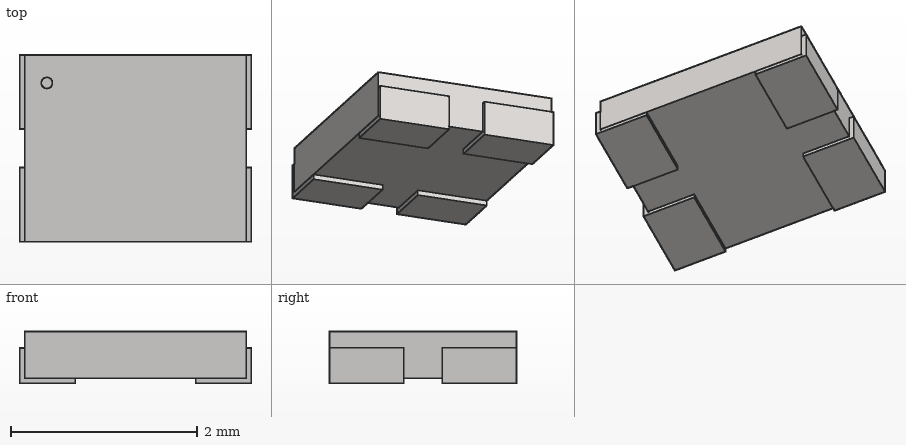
import cadquery as cq

total_length = 2.49
width = 2.01
total_height = 0.56

terminal_thickness = 0.055
terminal_width = 0.8
terminal_height = 0.38
foot_length = 0.6

marker_diameter = 0.12
marker_depth = 0.02
marker_x = -0.95
marker_y = 0.702

housing_length = total_length - 2 * terminal_thickness
housing_height = total_height - terminal_thickness


def make_marker():
    """Disc whose upper face is level with the top of the housing."""
    return (
        cq.Workplane("XY", origin=(marker_x, marker_y, total_height - marker_depth))
        .circle(marker_diameter / 2)
        .extrude(marker_depth)
    )


def make_housing(marker):
    """Rectangular block with a shallow round recess for the marker."""
    block = (
        cq.Workplane("XY", origin=(0, 0, terminal_thickness))
        .rect(housing_length, width)
        .extrude(housing_height)
    )
    return block.cut(marker)


def make_terminal(x_side, y_side):
    """L-shaped terminal at one corner; each side is -1 or +1."""
    outer_x = x_side * total_length / 2
    wall_x = x_side * housing_length / 2
    foot_x = outer_x - x_side * foot_length
    center_y = y_side * (width - terminal_width) / 2
    return (
        cq.Workplane("XZ", origin=(0, center_y, 0))
        .moveTo(outer_x, 0)
        .lineTo(outer_x, terminal_height)
        .lineTo(wall_x, terminal_height)
        .lineTo(wall_x, terminal_thickness)
        .lineTo(foot_x, terminal_thickness)
        .lineTo(foot_x, 0)
        .close()
        .extrude(terminal_width / 2, both=True)
    )


marker = make_marker()
housing = make_housing(marker)
terminals = [make_terminal(x_side, y_side) for x_side in (-1, 1) for y_side in (-1, 1)]

result = cq.Compound.makeCompound(
    [housing.val(), marker.val(), *[terminal.val() for terminal in terminals]]
)